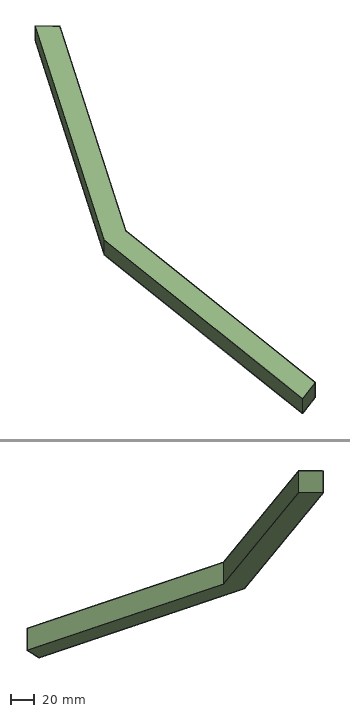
import cadquery as cq
import math

overall_length = 449.5
bar_width = 20.2
bar_height = 20.0
bend_angle = math.radians(30)

arm_length = overall_length / (1 + math.cos(bend_angle))

miter_angle = bend_angle / 2
miter_length = bar_width / math.cos(miter_angle)


def offset(point, distance, direction):
    """Move a point by a distance along a direction in the XY plane."""
    x, y = point
    return (x + distance * math.cos(direction), y + distance * math.sin(direction))


bend_outer = (0.0, 0.0)
straight_tip = (arm_length, 0.0)
raised_tip = offset(bend_outer, arm_length, math.pi - bend_angle)

square_direction = math.pi / 2
bend_inner = offset(bend_outer, miter_length, square_direction - miter_angle)
straight_inner = offset(straight_tip, miter_length, square_direction + miter_angle)
raised_inner = offset(raised_tip, miter_length, square_direction - bend_angle - miter_angle)

outline = [bend_outer, straight_tip, straight_inner, bend_inner, raised_inner, raised_tip]
result = cq.Workplane("XY").polyline(outline).close().extrude(bar_height)